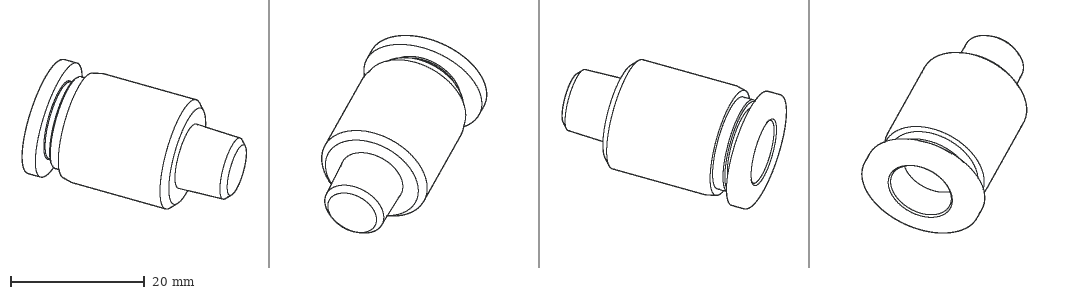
import cadquery as cq

total_length = 30.9
flange_end = 2.25
neck_end = 3.52
body_start = 5.4
body_end = 22.93

flange_width = 19.0
flange_height = 16.62
flange_fillet = 0.3
neck_diameter = 11.9
neck_flare = 0.15
ring_diameter = 14.3
ring_chamfer = 0.22

bore_diameter = 9.75
bore_end = 18.55
bore_chamfer = 0.28

body_diameter = 17.0
lead_in_length = 1.5
lead_in_depth = 0.35
body_chamfer = 1.02
stub_base_diameter = 9.98
stub_tip_diameter = 9.52
stub_chamfer = 0.83


def cylinder(start, end, diameter):
    """Round bar on the X axis between two stations."""
    return cq.Workplane("YZ", origin=(start, 0, 0)).circle(diameter / 2).extrude(end - start)


def revolve_about_x(profile):
    """Turned solid from a closed (station, radius) outline."""
    return cq.Workplane("XY").polyline(profile).close().revolve(360, (0, 0, 0), (1, 0, 0))


def make_flange():
    """Elliptical flange with a rounded front rim."""
    blank = cq.Workplane("YZ").ellipse(flange_width / 2, flange_height / 2).extrude(flange_end)
    return blank.faces("<X").edges().fillet(flange_fillet)


def make_neck():
    """Round neck that flares at its root on the flange."""
    neck_radius = neck_diameter / 2
    profile = [
        (flange_end, 0),
        (flange_end, neck_radius + neck_flare),
        (flange_end + neck_flare, neck_radius),
        (neck_end, neck_radius),
        (neck_end, 0),
    ]
    return revolve_about_x(profile)


def make_collet():
    """Flange, neck and guide ring around the bore."""
    ring = cylinder(neck_end, body_start, ring_diameter).faces("<X").edges().chamfer(ring_chamfer)
    solid = make_flange().union(make_neck()).union(ring)
    solid = solid.cut(cylinder(0, body_start, bore_diameter))
    return solid.faces("<X").edges("%CIRCLE").chamfer(bore_chamfer)


def make_body():
    """Turned barrel and tapered stub with a blind bore."""
    body_radius = body_diameter / 2
    stub_tip_radius = stub_tip_diameter / 2
    profile = [
        (body_start, 0),
        (body_start, body_radius - lead_in_depth),
        (body_start + lead_in_length, body_radius),
        (body_end - body_chamfer, body_radius),
        (body_end, body_radius - body_chamfer),
        (body_end, stub_base_diameter / 2),
        (total_length - stub_chamfer, stub_tip_radius),
        (total_length, stub_tip_radius - stub_chamfer),
        (total_length, 0),
    ]
    solid = revolve_about_x(profile)
    return solid.cut(cylinder(body_start, bore_end, bore_diameter))


collet = make_collet()
body = make_body()
result = cq.Compound.makeCompound([collet.val(), body.val()])